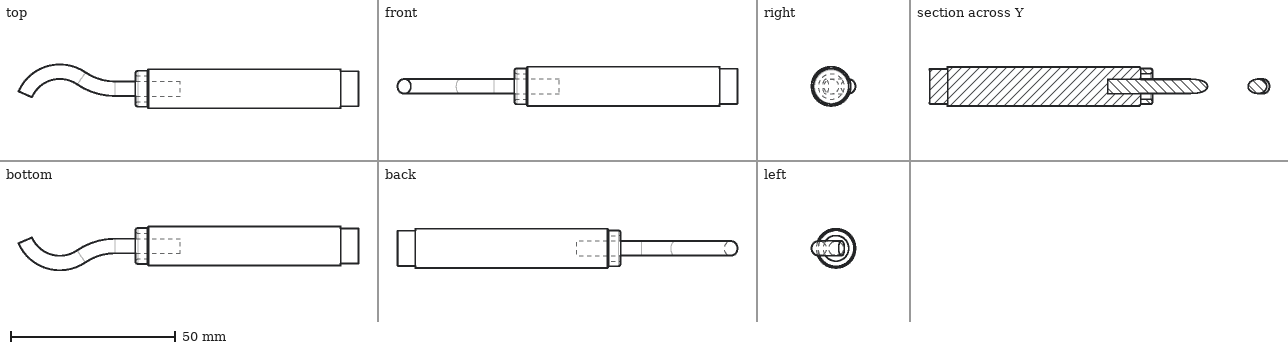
import cadquery as cq
import math


barrel_diameter = 12.0
barrel_length = 58.9

collar_diameter = 11.0
collar_length = 3.6
mouth_round = 0.8

barrel_chamfer = (barrel_diameter - collar_diameter) / 2

cap_diameter = 10.8
cap_length = 5.5
cap_round = 0.3

rod_diameter = 4.5
anchor_depth = 10.0
straight_reach = 6.2
hook_width = 13.45
overall_length = 103.62
crest_rise = hook_width - barrel_diameter / 2 - rod_diameter / 2
hook_radius = 11.5
tip_sweep = math.radians(66.5)

body_length = collar_length + barrel_length + cap_length
straight_end_x = -collar_length - straight_reach
tip_x = body_length - collar_length - overall_length
crest_x = tip_x + (hook_radius + rod_diameter / 2) * math.sin(tip_sweep)

crest_run = straight_end_x - crest_x
bend_angle = 2 * math.atan2(crest_rise, crest_run)
offset_radius = crest_run / math.sin(bend_angle) - hook_radius


def make_barrel():
    barrel = cq.Workplane("YZ").circle(barrel_diameter / 2).extrude(barrel_length)
    barrel = barrel.faces("<X").edges().chamfer(barrel_chamfer)
    rod_socket = cq.Workplane("YZ").circle(rod_diameter / 2).extrude(anchor_depth)
    return barrel.cut(rod_socket)


def make_collar():
    outer_radius = collar_diameter / 2
    bore_radius = outer_radius - 2 * mouth_round
    mouth_start_x = mouth_round - collar_length
    profile = (
        cq.Workplane("XY")
        .moveTo(0, bore_radius)
        .lineTo(mouth_start_x, bore_radius)
        .threePointArc((-collar_length, bore_radius + mouth_round), (mouth_start_x, outer_radius))
        .lineTo(0, outer_radius)
        .close()
    )
    return profile.revolve(360, (0, 0, 0), (1, 0, 0))


def make_end_cap():
    cap = cq.Workplane("YZ", origin=(barrel_length, 0, 0)).circle(cap_diameter / 2).extrude(cap_length)
    return cap.faces(">X").edges().fillet(cap_round)


def make_hook():
    hook_center_y = crest_rise - hook_radius

    def offset_bend_point(angle):
        return (
            straight_end_x - offset_radius * math.sin(angle),
            offset_radius * (1 - math.cos(angle)),
        )

    def hook_point(angle):
        return (
            crest_x + hook_radius * math.sin(angle),
            hook_center_y + hook_radius * math.cos(angle),
        )

    path = (
        cq.Workplane("XY")
        .moveTo(anchor_depth, 0)
        .lineTo(straight_end_x, 0)
        .threePointArc(offset_bend_point(bend_angle / 2), offset_bend_point(bend_angle))
        .threePointArc(hook_point(0), hook_point(-tip_sweep))
    )
    return cq.Workplane("YZ", origin=(anchor_depth, 0, 0)).circle(rod_diameter / 2).sweep(path)


barrel = make_barrel()
collar = make_collar()
end_cap = make_end_cap()
hook = make_hook()

result = cq.Compound.makeCompound([barrel.val(), collar.val(), end_cap.val(), hook.val()])